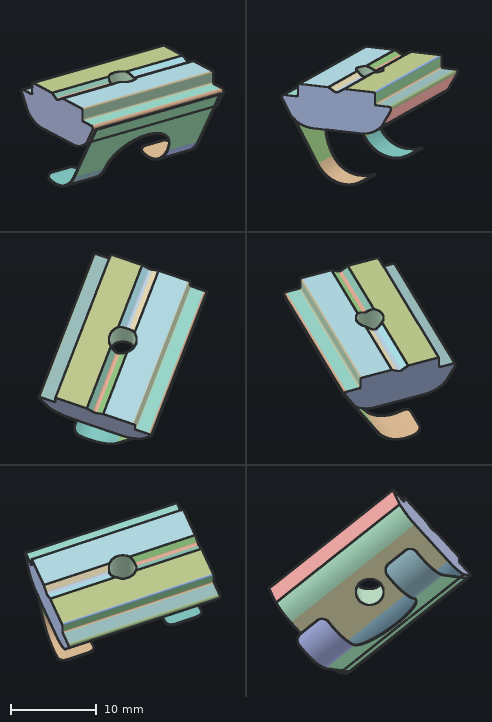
import cadquery as cq
import math

length = 19.0
body_width = 14.0
body_height = 5.17
head_width = 9.88
head_height = 1.54
head_round = 0.2
shoulder_round = 0.3
flank_angle = math.radians(60)
flank_end_depth = 4.07
belly_radius = 3.99
hole_diameter = 3.23

groove_width = 2.03
groove_angle = math.radians(30)
groove_root_radius = 0.5

total_height = 11.7
spring_width = 18.01
spring_thickness = 0.1
spring_setback = 0.05
bend_radius = 4.18
tip_angle = math.radians(30)
tip_corner_radius = 0.99
arch_radius = 4.5

down_x, down_z = -math.cos(flank_angle), -math.sin(flank_angle)
out_x, out_z = math.sin(flank_angle), -math.cos(flank_angle)

corner_x = body_width / 2 - shoulder_round + shoulder_round / math.tan(flank_angle / 2)


def flank_x(z):
    return corner_x + (z + head_height) / math.tan(flank_angle)


def extrude_along_y(profile, width):
    return profile.extrude(width / 2, both=True)


def make_body():
    half_head = head_width / 2
    flank_end_x = flank_x(-flank_end_depth)
    rise = body_height - flank_end_depth
    belly_angle = math.acos(1 - rise / belly_radius)
    belly_x = flank_end_x - belly_radius * math.sin(belly_angle)
    mid_x = belly_x + belly_radius * math.sin(belly_angle / 2)
    mid_z = -body_height + belly_radius * (1 - math.cos(belly_angle / 2))

    body = extrude_along_y(
        cq.Workplane("XZ")
        .moveTo(-half_head, 0)
        .lineTo(half_head, 0)
        .lineTo(half_head, -head_height)
        .lineTo(corner_x, -head_height)
        .lineTo(flank_end_x, -flank_end_depth)
        .threePointArc((mid_x, mid_z), (belly_x, -body_height))
        .lineTo(-belly_x, -body_height)
        .threePointArc((-mid_x, mid_z), (-flank_end_x, -flank_end_depth))
        .lineTo(-corner_x, -head_height)
        .lineTo(-half_head, -head_height)
        .close(),
        length,
    )

    def edges_at(x, z):
        selected = body.edges(cq.selectors.NearestToPointSelector((x, 0, z)))
        return selected.add(body.edges(cq.selectors.NearestToPointSelector((-x, 0, z))))

    body = edges_at(corner_x, -head_height).fillet(shoulder_round)
    body = edges_at(half_head, 0).fillet(head_round)
    body = edges_at(half_head, -head_height).fillet(head_round)
    return body


def make_groove():
    half_width = groove_width / 2
    root_x = groove_root_radius * math.sin(groove_angle)
    root_z = -(half_width - root_x) * math.tan(groove_angle)
    bottom_z = root_z - groove_root_radius * (1 - math.cos(groove_angle))
    profile = (
        cq.Workplane("XZ")
        .moveTo(-half_width, 0)
        .lineTo(-root_x, root_z)
        .threePointArc((0, bottom_z), (root_x, root_z))
        .lineTo(half_width, 0)
        .close()
    )
    return extrude_along_y(profile, length)


def make_spring():
    center_z = bend_radius - total_height
    bend_z = center_z + bend_radius * out_z
    bend_x = flank_x(bend_z - spring_thickness * out_z) + spring_thickness * out_x
    center_x = bend_x - bend_radius * out_x
    inner_radius = bend_radius - spring_thickness

    def on_curl(radius, angle):
        return center_x + radius * math.sin(angle), center_z - radius * math.cos(angle)

    start_run = shoulder_round / math.tan(flank_angle / 2) + spring_setback
    start_x = corner_x + down_x * start_run
    start_z = -head_height + down_z * start_run
    profile = (
        cq.Workplane("XZ")
        .moveTo(start_x, start_z)
        .lineTo(start_x + spring_thickness * out_x, start_z + spring_thickness * out_z)
        .lineTo(bend_x, bend_z)
        .threePointArc(on_curl(bend_radius, 0), on_curl(bend_radius, -tip_angle))
        .lineTo(*on_curl(inner_radius, -tip_angle))
        .threePointArc(on_curl(inner_radius, 0), on_curl(inner_radius, flank_angle))
        .close()
    )
    spring = extrude_along_y(profile, spring_width)

    arch_plane = cq.Plane(origin=(bend_x, 0, bend_z), xDir=(0, 1, 0), normal=(out_x, 0, out_z))
    arch = cq.Workplane(arch_plane).circle(arch_radius).extrude(2 * spring_thickness, both=True)
    gap = (
        cq.Workplane("XY", origin=(0, 0, bend_z))
        .rect(2 * body_width, 2 * arch_radius)
        .extrude(-total_height)
    )
    spring = spring.cut(arch).cut(gap)

    radius = tip_corner_radius
    tip_x, tip_z = on_curl(bend_radius, -tip_angle)
    tip_normal = (-math.sin(tip_angle), 0, -math.cos(tip_angle))
    leg_sides = (-spring_width / 2, -arch_radius, arch_radius, spring_width / 2)
    inward_signs = (1, -1, 1, -1)
    for side_y, inward in zip(leg_sides, inward_signs):
        plane = cq.Plane(origin=(tip_x, side_y, tip_z), xDir=(0, 1, 0), normal=tip_normal)
        near_arc = radius * (1 - math.sqrt(0.5))
        corner = (
            cq.Workplane(plane)
            .moveTo(0, radius)
            .threePointArc((inward * near_arc, near_arc), (inward * radius, 0))
            .lineTo(inward * radius, -radius)
            .lineTo(-inward * radius, -radius)
            .lineTo(-inward * radius, radius)
            .close()
            .extrude(radius / 2, both=True)
        )
        spring = spring.cut(corner)
    return spring


hole = cq.Workplane("XY").circle(hole_diameter / 2).extrude(-body_height)

result = make_body().cut(make_groove()).cut(hole).union(make_spring())